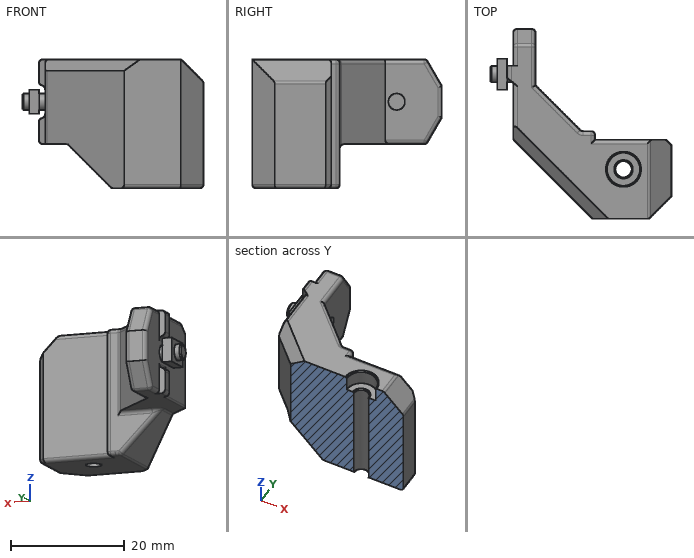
import cadquery as cq
import math


arm_height = 15.0
arm_top = arm_height / 2
arm_bottom = -arm_height / 2
arm_thickness = 4.0
arm_end_y = 33.53
arm_inner_corner_y = arm_end_y - 10.0
tip_bevel_angle = 60.0
tip_bevel_length_y = 2.75
tip_bevel_drop = tip_bevel_length_y * math.tan(math.radians(tip_bevel_angle))

block_length_x = 28.0
block_back_y = 14.0
block_depth_below_arm = 7.8
block_bottom = arm_bottom - block_depth_below_arm
diagonal_cut = 14.0
side_chamfer = 4.0
back_corner_chamfer = 1.0
step_x = 14.5
step_y = 15.5
step_start_x = arm_thickness + arm_inner_corner_y - step_y
slope_start_x = arm_thickness

edge_radius = 0.75
mount_edge_radius = 1.0
lower_mount_radius = 0.3
top_diagonal_chamfer = 2.0

hole_x = 19.5
hole_y = 8.75
hole_diameter = 2.85
counterbore_diameter = 5.8
counterbore_depth = 3.0
hole_chamfer = 0.225

screw_y = arm_end_y - 8.0
screw_diameter = 2.93
screw_tip_x = -4.0
screw_chamfer = 0.25
nut_thickness = 1.75
nut_inner_x = -1.05
nut_width = 5.5
nut_height = 4.3

rib_height = 1.1
rib_foot_width = 3.0
rib_foot_depth = edge_radius
rib_foot_z = nut_height / 2
rib_slant_run = 0.87

TOLERANCE = 1e-3


def near(value, target):
    return abs(value - target) < TOLERANCE


def round_edges(body, radius, chosen, skipped=None):
    """Fillets the edges whose two ends meet the condition chosen(x, y, z), except the skipped ones."""
    edges = []
    for edge in body.edges().vals():
        ends = [edge.startPoint().toTuple(), edge.endPoint().toTuple()]
        is_skipped = skipped is not None and all(skipped(*end) for end in ends)
        if all(chosen(*end) for end in ends) and not is_skipped:
            edges.append(edge)
    return body.newObject(edges).fillet(radius)


block_outline = [
    (step_x, step_y),
    (step_x, block_back_y),
    (block_length_x - back_corner_chamfer, block_back_y),
    (block_length_x, block_back_y - back_corner_chamfer),
    (block_length_x, side_chamfer),
    (block_length_x - side_chamfer, 0),
    (diagonal_cut, 0),
]


def make_upper_body():
    """Arm, diagonal web and upper half of the block, with the bevelled arm tip."""
    outline = [
        (0, diagonal_cut),
        (0, arm_end_y),
        (arm_thickness, arm_end_y),
        (arm_thickness, arm_inner_corner_y),
        (step_start_x, step_y),
        *block_outline,
    ]
    body = cq.Workplane("XY", origin=(0, 0, arm_bottom)).polyline(outline).close().extrude(arm_height)
    for side in (1, -1):
        bevel = (
            cq.Workplane("YZ")
            .polyline([
                (arm_end_y - tip_bevel_length_y, side * arm_top),
                (arm_end_y, side * arm_top),
                (arm_end_y, side * (arm_top - tip_bevel_drop)),
            ])
            .close()
            .extrude(arm_thickness)
        )
        body = body.cut(bevel)
    return body


def make_lower_block():
    """Lower half of the block, with a 45 degree underside rising to the arm."""
    outline = [
        (0, diagonal_cut),
        (0, step_y),
        *block_outline,
    ]
    block = (
        cq.Workplane("XY", origin=(0, 0, block_bottom))
        .polyline(outline).close().extrude(block_depth_below_arm)
    )
    under_slope = (
        cq.Workplane("XZ")
        .polyline([
            (0, arm_bottom),
            (slope_start_x, arm_bottom),
            (slope_start_x + block_depth_below_arm, block_bottom),
            (0, block_bottom),
        ])
        .close()
        .extrude(-step_y)
    )
    return block.cut(under_slope)


def chamfer_block_end(body):
    """Large 45 degree chamfer along the top of the +X end."""
    wedge = (
        cq.Workplane("XZ")
        .polyline([
            (block_length_x - side_chamfer, arm_top),
            (block_length_x, arm_top),
            (block_length_x, arm_top - side_chamfer),
        ])
        .close()
        .extrude(-block_back_y)
    )
    return body.cut(wedge)


def on_diagonal_face(x, y, z):
    return near(x + y, diagonal_cut)


def on_web_corner(x, y, z):
    return near(x, arm_thickness) and near(y, arm_inner_corner_y)


def round_lower_block(body):
    """Rounds the lower block: its slope, its joint with the arm above and its floor."""
    def slope_back_edge(x, y, z):
        return near(x - slope_start_x, arm_bottom - z) and near(y, step_y)

    def joint_with_arm(x, y, z):
        in_length = slope_start_x - TOLERANCE < x < step_x
        return near(z, arm_bottom) and in_length and y < step_y + TOLERANCE

    def step_corner(x, y, z):
        return near(x, step_x) and near(y, step_y)

    def floor_edge(x, y, z):
        return near(z, block_bottom)

    body = round_edges(body, edge_radius, slope_back_edge)
    body = round_edges(body, edge_radius, joint_with_arm)
    body = round_edges(body, edge_radius, step_corner)
    return round_edges(body, edge_radius, floor_edge, skipped=on_diagonal_face)


def round_arm_corners(body):
    """Rounds the upright edges of the arm and the obtuse corners of its bevelled tip."""
    def web_to_step(x, y, z):
        return near(x, step_start_x) and near(y, step_y)

    def tip_bevel_start(x, y, z):
        return near(y, arm_end_y - tip_bevel_length_y) and near(abs(z), arm_top)

    body = round_edges(body, edge_radius, web_to_step)
    return round_edges(body, edge_radius, tip_bevel_start)


def round_back_rim(body):
    """Rounds the inner rim of the arm, the top back edges and the edges of the end chamfer."""
    def back_rim(x, y, z):
        arm_rim = near(x, arm_thickness) and y > arm_inner_corner_y - TOLERANCE
        back_top = near(z, arm_top) and x > arm_thickness - TOLERANCE and y > block_back_y - TOLERANCE
        end_top = near(z, arm_top) and near(x, block_length_x - side_chamfer)
        return arm_rim or back_top or end_top

    def end_face_top(x, y, z):
        return near(x, block_length_x) and near(z, arm_top - side_chamfer)

    body = round_edges(body, edge_radius, back_rim, skipped=on_web_corner)
    return round_edges(body, edge_radius, end_face_top)


def round_mount_rim(body):
    """Rounds the rim of the mounting face, less so along the bottom between block and screw."""
    def mount_rim(x, y, z):
        return near(x, 0)

    rounded = round_edges(body, edge_radius, mount_rim, skipped=on_diagonal_face)
    tighter = round_edges(body, lower_mount_radius, mount_rim, skipped=on_diagonal_face)
    lower_zone = cq.Workplane("XY", origin=(0, 0, arm_bottom)).box(
        edge_radius, screw_y, edge_radius, centered=False
    )
    return rounded.union(tighter.intersect(lower_zone))


def make_corner_trim():
    """Sliver that rounds the upright edge between the mounting face and the diagonal face."""
    turn = math.radians(45)
    tangent = mount_edge_radius * math.tan(turn / 2)
    axis_y = diagonal_cut + tangent

    def arc_point(angle):
        return (
            mount_edge_radius * (1 - math.cos(angle)),
            axis_y - mount_edge_radius * math.sin(angle),
        )

    return (
        cq.Workplane("XY", origin=(0, 0, arm_bottom))
        .moveTo(0, diagonal_cut)
        .lineTo(*arc_point(0))
        .threePointArc(arc_point(turn / 2), arc_point(turn))
        .close()
        .extrude(arm_height)
    )


def make_diagonal_chamfer():
    """Wedge that chamfers the top of the diagonal face, running past both of its ends."""
    overrun = diagonal_cut
    middle = diagonal_cut / 2
    across = cq.Plane(origin=(middle, middle, arm_top), xDir=(1, 1, 0), normal=(1, -1, 0))
    return (
        cq.Workplane(across)
        .polyline([
            (-top_diagonal_chamfer, 0),
            (top_diagonal_chamfer, 0),
            (0, -top_diagonal_chamfer),
            (-top_diagonal_chamfer, -top_diagonal_chamfer),
        ])
        .close()
        .extrude(overrun, both=True)
    )


def make_rib():
    """Guide rib above the screw, with an S-curved lower end and one slanted side."""
    turn = math.acos(1 - rib_height / 2 / edge_radius)
    arc_rise = edge_radius * math.sin(turn)
    half_turn_run = edge_radius * (1 - math.cos(turn / 2))
    half_turn_rise = edge_radius * math.sin(turn / 2)
    curve_top = rib_foot_z + 2 * arc_rise
    near_side_y = screw_y - rib_foot_width / 2
    far_side_y = screw_y + rib_foot_width / 2

    profile = (
        cq.Workplane("XZ")
        .moveTo(-rib_height, arm_top)
        .lineTo(rib_foot_depth, arm_top)
        .lineTo(rib_foot_depth, rib_foot_z)
        .lineTo(0, rib_foot_z)
        .threePointArc(
            (-half_turn_run, rib_foot_z + half_turn_rise),
            (-rib_height / 2, rib_foot_z + arc_rise),
        )
        .threePointArc(
            (half_turn_run - rib_height, curve_top - half_turn_rise),
            (-rib_height, curve_top),
        )
        .close()
        .extrude(-far_side_y)
    )
    profile = round_edges(profile, edge_radius, lambda x, y, z: near(x, -rib_height) and near(z, arm_top))

    slant = rib_slant_run / rib_height
    plan = (
        cq.Workplane("XY")
        .polyline([
            (-rib_height, far_side_y),
            (rib_foot_depth, far_side_y),
            (rib_foot_depth, near_side_y - slant * rib_foot_depth),
            (-rib_height, near_side_y + rib_slant_run),
        ])
        .close()
        .extrude(arm_top)
    )
    return profile.intersect(plan)


def make_mounting_hole():
    """Counterbored through hole, chamfered at both mouths, as a turned cutter."""
    hole_radius = hole_diameter / 2
    bore_radius = counterbore_diameter / 2
    bore_floor = arm_top - counterbore_depth
    return (
        cq.Workplane("XZ", origin=(hole_x, hole_y, 0))
        .polyline([
            (0, block_bottom),
            (hole_radius, block_bottom),
            (hole_radius, bore_floor - hole_chamfer),
            (hole_radius + hole_chamfer, bore_floor),
            (bore_radius, bore_floor),
            (bore_radius, arm_top - hole_chamfer),
            (bore_radius + hole_chamfer, arm_top),
            (0, arm_top),
        ])
        .close()
        .revolve(360, (0, 0, 0), (0, 1, 0))
    )


def make_screw():
    """Screw through the arm, flush with its inner face and chamfered at the free tip."""
    return (
        cq.Workplane("YZ", origin=(screw_tip_x, screw_y, 0))
        .circle(screw_diameter / 2)
        .extrude(arm_thickness - screw_tip_x)
        .faces("<X")
        .chamfer(screw_chamfer)
    )


def make_bracket():
    body = make_upper_body().union(make_lower_block())
    body = chamfer_block_end(body)
    body = round_lower_block(body)
    body = round_arm_corners(body)
    body = round_back_rim(body)
    body = round_mount_rim(body)
    body = body.cut(make_corner_trim())
    body = body.cut(make_diagonal_chamfer())
    rib = make_rib()
    body = body.union(rib).union(rib.mirror("XY"))
    return body.cut(make_mounting_hole()).cut(make_screw())


def make_nut():
    """Flat rectangular nut on the screw."""
    nut = cq.Workplane("XY", origin=(nut_inner_x - nut_thickness / 2, screw_y, 0)).box(
        nut_thickness, nut_width, nut_height
    )
    return nut.cut(make_screw())


bracket = make_bracket()
screw = make_screw()
nut = make_nut()

result = cq.Compound.makeCompound([bracket.val(), screw.val(), nut.val()])